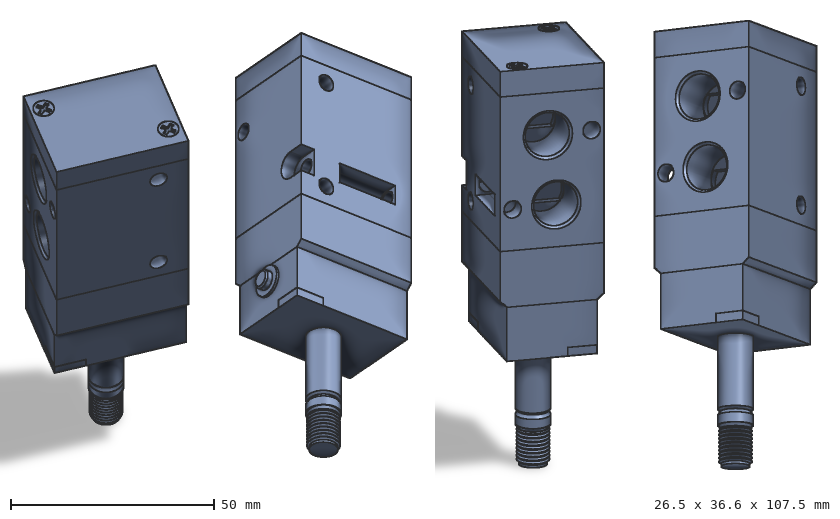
import cadquery as cq
TOTAL_HEIGHT = 107.5
BLOCK_WIDTH = 26.5
BLOCK_DEPTH = 34.1
FRONT_Y = -BLOCK_DEPTH / 2
REAR_Y = BLOCK_DEPTH / 2
LEFT_X = -BLOCK_WIDTH / 2

CAP_HEIGHT = 6.6
VALVE_HEIGHT = 39.9
ADAPTER_HEIGHT = 14.5
PILOT_HEIGHT = 14.0
CAP_BASE_Z = TOTAL_HEIGHT - CAP_HEIGHT
VALVE_BASE_Z = CAP_BASE_Z - VALVE_HEIGHT
VALVE_MID_Z = VALVE_BASE_Z + VALVE_HEIGHT / 2
ADAPTER_BASE_Z = VALVE_BASE_Z - ADAPTER_HEIGHT
PILOT_BASE_Z = ADAPTER_BASE_Z - PILOT_HEIGHT

SCREW_DIAMETER = 5.2
SCREW_RECESS = 0.1
SCREW_X = 8.0
SCREW_Y = 13.5
CROSS_LENGTH = 3.7
CROSS_WIDTH = 1.0
CROSS_DEPTH = 0.6

PORT_DIAMETER = 11.3
PORT_CHAMFER = 0.6
PORT_DEPTH = 12.9
PORT_X = 1.1
PORT_Z = 9.0
FLOOR_SLOT_HEIGHT = 5.5
FLOOR_SLOT_Z = 9.7
FLOOR_SLOT_DEPTH = 2.2

POCKET_Z = 9.5
SIDE_POCKET_HEIGHT = 5.5
SIDE_POCKET_FLAT = 3.5
SIDE_POCKET_LENGTH = 17.1
SIDE_POCKET_Y = FRONT_Y + 5.0
REAR_POCKET_HEIGHT = 7.5
REAR_POCKET_FLAT = 4.3
REAR_POCKET_LENGTH = 4.0

MOUNT_HOLE_DIAMETER = 4.4
FRONT_HOLE_X = 10.1
FRONT_HOLE_Z = 9.4
SIDE_HOLE_Y = REAR_Y - 7.7
SIDE_HOLE_Z = 14.9

ADAPTER_CHAMFER_WIDTH = 1.7
ADAPTER_CHAMFER_HEIGHT = 1.5
PILOT_WIDTH = BLOCK_WIDTH - 2 * ADAPTER_CHAMFER_WIDTH
CORNER_HEIGHT = 2.3
CORNER_WIDTH = 7.5
CORNER_DEPTH = 8.2
CORNER_RELIEF = 0.05

BUTTON_Z = 42.1
BUTTON_FLANGE_DIAMETER = 8.3
BUTTON_FLANGE_THICKNESS = 0.6
BUTTON_DIAMETER = 4.9
BUTTON_REACH = 2.5
BUTTON_CHAMFER = 0.4

STEM_RADIUS = 4.4
GROOVE_RADIUS = 3.8
GROOVE_TOP_Z = 14.4
GROOVE_ROOT_Z = 13.8
COLLAR_TOP_Z = 12.8
COLLAR_BASE_Z = 10.3
NECK_RADIUS = 4.2
NECK_BASE_RADIUS = 3.9
NECK_BASE_Z = 9.5
THREAD_TOP_Z = 9.2
THREAD_RADIUS = 4.1
THREAD_ROOT_RADIUS = 3.5
THREAD_PITCH = 1.0
THREAD_COUNT = 9
THREAD_FIRST_Z = 1.2


def box(x_range, y_range, z_range):
    """Box between two limits along each axis."""
    size = [high - low for low, high in (x_range, y_range, z_range)]
    corner = (x_range[0], y_range[0], z_range[0])
    return cq.Workplane("XY").box(*size, centered=False).translate(corner)


def centred_block(width, base_z, height):
    """Block of the full depth, centred on the valve axis."""
    return box((-width / 2, width / 2), (FRONT_Y, REAR_Y), (base_z, base_z + height))


def rod_along_y(diameter, x, z, start_y, length):
    """Cylinder that runs toward +Y from start_y."""
    plane = cq.Plane(origin=(x, start_y, z), xDir=(-1, 0, 0), normal=(0, 1, 0))
    return cq.Workplane(plane).circle(diameter / 2).extrude(length)


def rod_along_x(diameter, y, z):
    """Cylinder that runs through the full width of the block."""
    plane = cq.Plane(origin=(LEFT_X, y, z), xDir=(0, 1, 0), normal=(1, 0, 0))
    return cq.Workplane(plane).circle(diameter / 2).extrude(BLOCK_WIDTH)


def build_cap():
    cap = centred_block(BLOCK_WIDTH, CAP_BASE_Z, CAP_HEIGHT)
    head_z = TOTAL_HEIGHT - SCREW_RECESS
    for side in (-1, 1):
        head = cq.Workplane("XY", origin=(side * SCREW_X, side * SCREW_Y, head_z))
        cap = cap.cut(head.circle(SCREW_DIAMETER / 2).extrude(SCREW_RECESS))
        for angle in (-45, 45):
            arm = head.transformed(rotate=(0, 0, angle)).rect(CROSS_LENGTH, CROSS_WIDTH)
            cap = cap.cut(arm.extrude(-CROSS_DEPTH))
    return cap


def port_cut(x, z):
    """Blind front port with a chamfered mouth."""
    radius = PORT_DIAMETER / 2
    mouth = cq.Solid.makeCone(
        radius + PORT_CHAMFER, radius, PORT_CHAMFER, cq.Vector(x, FRONT_Y, z), cq.Vector(0, 1, 0)
    )
    return rod_along_y(PORT_DIAMETER, x, z, FRONT_Y, PORT_DEPTH).union(cq.Workplane(mouth))


def floor_slot_cut(x, z):
    """Flat slot across the floor of a port."""
    floor_y = FRONT_Y + PORT_DEPTH
    slot = box(
        (x - PORT_DIAMETER / 2, x + PORT_DIAMETER / 2),
        (floor_y, floor_y + FLOOR_SLOT_DEPTH),
        (z - FLOOR_SLOT_HEIGHT / 2, z + FLOOR_SLOT_HEIGHT / 2),
    )
    return slot.intersect(rod_along_y(PORT_DIAMETER, x, z, FRONT_Y, BLOCK_DEPTH))


def left_pocket_cut(height, flat_depth, start_y, length):
    """Pocket from the left face with flat top and bottom and a full-round inner end."""
    pocket_z = VALVE_MID_Z - POCKET_Z
    end_x = LEFT_X + flat_depth
    flat = box(
        (LEFT_X, end_x),
        (start_y, start_y + length),
        (pocket_z - height / 2, pocket_z + height / 2),
    )
    return flat.union(rod_along_y(height, end_x, pocket_z, start_y, length))


def build_valve():
    valve = centred_block(BLOCK_WIDTH, VALVE_BASE_Z, VALVE_HEIGHT)
    for side in (-1, 1):
        port_x = -side * PORT_X
        slot_z = VALVE_MID_Z + side * FLOOR_SLOT_Z
        hole_z = VALVE_MID_Z + side * FRONT_HOLE_Z
        valve = valve.cut(port_cut(port_x, VALVE_MID_Z + side * PORT_Z))
        valve = valve.cut(floor_slot_cut(port_x, slot_z))
        valve = valve.cut(rod_along_y(MOUNT_HOLE_DIAMETER, side * FRONT_HOLE_X, hole_z, FRONT_Y, BLOCK_DEPTH))
        valve = valve.cut(rod_along_x(MOUNT_HOLE_DIAMETER, SIDE_HOLE_Y, VALVE_MID_Z + side * SIDE_HOLE_Z))
    side_pocket = left_pocket_cut(
        SIDE_POCKET_HEIGHT, SIDE_POCKET_FLAT, SIDE_POCKET_Y, SIDE_POCKET_LENGTH
    )
    rear_pocket = left_pocket_cut(
        REAR_POCKET_HEIGHT, REAR_POCKET_FLAT, REAR_Y - REAR_POCKET_LENGTH, REAR_POCKET_LENGTH
    )
    return valve.cut(side_pocket).cut(rear_pocket)


def build_adapter():
    """Block whose lower side edges are chamfered down to the width of the pilot."""
    shoulder_z = ADAPTER_BASE_Z + ADAPTER_CHAMFER_HEIGHT
    outline = [
        (-PILOT_WIDTH / 2, ADAPTER_BASE_Z),
        (PILOT_WIDTH / 2, ADAPTER_BASE_Z),
        (BLOCK_WIDTH / 2, shoulder_z),
        (BLOCK_WIDTH / 2, VALVE_BASE_Z),
        (-BLOCK_WIDTH / 2, VALVE_BASE_Z),
        (-BLOCK_WIDTH / 2, shoulder_z),
    ]
    return cq.Workplane("XZ", origin=(0, REAR_Y, 0)).polyline(outline).close().extrude(BLOCK_DEPTH)


def stem():
    """Connector stem, turned about the valve axis."""
    points = [
        (0, PILOT_BASE_Z),
        (STEM_RADIUS, PILOT_BASE_Z),
        (STEM_RADIUS, GROOVE_TOP_Z),
        (GROOVE_RADIUS, GROOVE_ROOT_Z),
        (STEM_RADIUS, COLLAR_TOP_Z),
        (STEM_RADIUS, COLLAR_BASE_Z),
        (NECK_RADIUS, COLLAR_BASE_Z),
        (NECK_BASE_RADIUS, NECK_BASE_Z),
        (THREAD_ROOT_RADIUS, THREAD_TOP_Z),
    ]
    for ring in reversed(range(THREAD_COUNT)):
        crest_z = THREAD_FIRST_Z + ring * THREAD_PITCH
        points.append((THREAD_RADIUS, crest_z))
        points.append((THREAD_ROOT_RADIUS, crest_z - THREAD_PITCH / 2))
    points.append((THREAD_ROOT_RADIUS, 0))
    points.append((0, 0))
    return cq.Workplane("XZ").polyline(points).close().revolve(360, (0, 0, 0), (0, 1, 0))


def override_button():
    flange = rod_along_y(BUTTON_FLANGE_DIAMETER, 0, BUTTON_Z, REAR_Y, BUTTON_FLANGE_THICKNESS)
    button = rod_along_y(BUTTON_DIAMETER, 0, BUTTON_Z, REAR_Y, BUTTON_REACH)
    return button.faces(">Y").chamfer(BUTTON_CHAMFER).union(flange)


def corner_relief_cut(side):
    """Shallow relief on the outer faces of one bottom corner; side is the sign of its X."""
    corner = box(
        (PILOT_WIDTH / 2 - CORNER_WIDTH, PILOT_WIDTH / 2),
        (FRONT_Y, FRONT_Y + CORNER_DEPTH),
        (PILOT_BASE_Z, PILOT_BASE_Z + CORNER_HEIGHT),
    )
    core = corner.translate((-CORNER_RELIEF, CORNER_RELIEF, 0))
    relief = corner.cut(core)
    if side < 0:
        relief = relief.rotate((0, 0, 0), (0, 0, 1), 180)
    return relief


def build_pilot():
    pilot = centred_block(PILOT_WIDTH, PILOT_BASE_Z, PILOT_HEIGHT)
    for side in (-1, 1):
        pilot = pilot.cut(corner_relief_cut(side))
    return pilot.union(stem()).union(override_button())


cap = build_cap()
valve = build_valve()
adapter = build_adapter()
pilot = build_pilot()

result = cq.Compound.makeCompound([cap.val(), valve.val(), adapter.val(), pilot.val()])